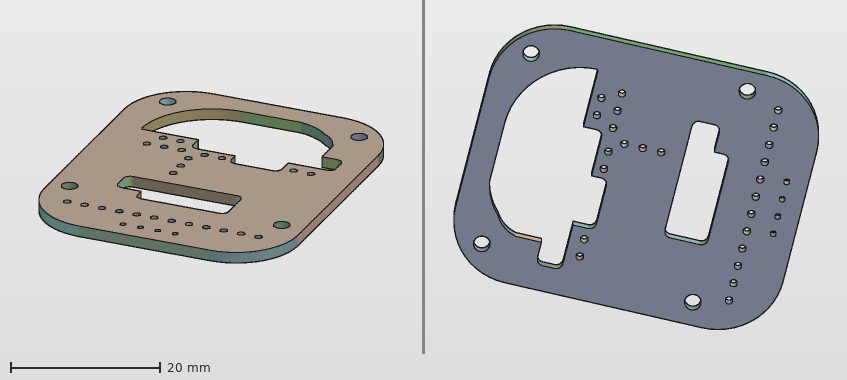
import cadquery as cq
import math

plate_width = 37.0
plate_length = 45.1
plate_thickness = 1.6
plate_corner_radius = 9.0

mount_diameter = 2.2
pin_diameter = 1.0
small_pin_diameter = 0.75
pin_pitch = 2.535
mount_centers = [(-14.1, 17.9), (13.85, 17.9), (-15.7, -11.5), (15.25, -11.5)]

pin_rows = [
    (-10.15, 7.25, 2),
    (-11.4, 4.75, 3),
    (-2.95, 4.55, 2),
    (9.95, 4.75, 2),
    (-14.05, -16.15, 12),
]
small_pin_row = (-4.38, -19.65, 4)
pin_column_x = -4.5
pin_column_bottom = -2.35
pin_column_count = 3

dome_radius = 10.4
dome_center_x = -3.6
ledge_y = 8.6
dome_left = dome_center_x - dome_radius
dome_top = ledge_y + dome_radius
dome_flat_end = 4.9
shoulder_middle = (7.5, 18.15)
shoulder_end = (9.45, 16.75)
side_arc_middle = (10.95, 15.4)
side_x = 11.75
side_top = 13.7
tab_right = 14.95
tab_top = 10.2
tab_bottom = 6.7
step_left = -5.6
step_bottom = 5.9
notch_left = 0.95
notch_right = 8.35
notch_bottom = 3.65
dome_corner_radius = 0.4
opening_corner_radius = 0.95

window_left = -10.0
window_right = 7.05
window_top = -5.45
window_bottom = -11.4
window_step_x = -6.23
window_step_y = -9.25
window_corner_radius = 0.95


def round_corners(cutter, corners, radius):
    """Round the upright edges of a cutter that stand at the given corners."""
    for x, y in corners:
        nearest = cq.NearestToPointSelector((x, y, plate_thickness / 2))
        cutter = cutter.edges("|Z").edges(nearest).fillet(radius)
    return cutter


def row_points(first_x, y, count):
    return [(first_x + i * pin_pitch, y) for i in range(count)]


def drill(body, centers, diameter):
    holes = cq.Workplane("XY").pushPoints(centers).circle(diameter / 2).extrude(plate_thickness)
    return body.cut(holes)


def upper_opening():
    diagonal = dome_radius * math.sqrt(0.5)
    outline = (
        cq.Workplane("XY")
        .moveTo(dome_left, ledge_y)
        .threePointArc((dome_center_x - diagonal, ledge_y + diagonal), (dome_center_x, dome_top))
        .lineTo(dome_flat_end, dome_top)
        .threePointArc(shoulder_middle, shoulder_end)
        .threePointArc(side_arc_middle, (side_x, side_top))
        .lineTo(side_x, tab_top)
        .lineTo(tab_right, tab_top)
        .lineTo(tab_right, tab_bottom)
        .lineTo(notch_right, tab_bottom)
        .lineTo(notch_right, notch_bottom)
        .lineTo(notch_left, notch_bottom)
        .lineTo(notch_left, step_bottom)
        .lineTo(step_left, step_bottom)
        .lineTo(step_left, ledge_y)
        .close()
    )
    cutter = outline.extrude(plate_thickness)
    cutter = round_corners(cutter, [(dome_left, ledge_y)], dome_corner_radius)
    corners = [
        (tab_right, tab_top),
        (tab_right, tab_bottom),
        (notch_right, notch_bottom),
        (notch_left, notch_bottom),
        (step_left, step_bottom),
    ]
    return round_corners(cutter, corners, opening_corner_radius)


def lower_window():
    rounded_corners = [
        (window_left, window_step_y),
        (window_left, window_top),
        (window_right, window_top),
        (window_right, window_bottom),
        (window_step_x, window_bottom),
    ]
    inner_corner = (window_step_x, window_step_y)
    outline = cq.Workplane("XY").polyline(rounded_corners + [inner_corner]).close()
    return round_corners(outline.extrude(plate_thickness), rounded_corners, window_corner_radius)


plate = (
    cq.Workplane("XY")
    .box(plate_width, plate_length, plate_thickness, centered=(True, True, False))
    .edges("|Z")
    .fillet(plate_corner_radius)
)
plate = plate.cut(upper_opening()).cut(lower_window())

plate = drill(plate, mount_centers, mount_diameter)
for row in pin_rows:
    plate = drill(plate, row_points(*row), pin_diameter)
pin_column = [(pin_column_x, pin_column_bottom + i * pin_pitch) for i in range(pin_column_count)]
plate = drill(plate, pin_column, pin_diameter)
plate = drill(plate, row_points(*small_pin_row), small_pin_diameter)

result = plate